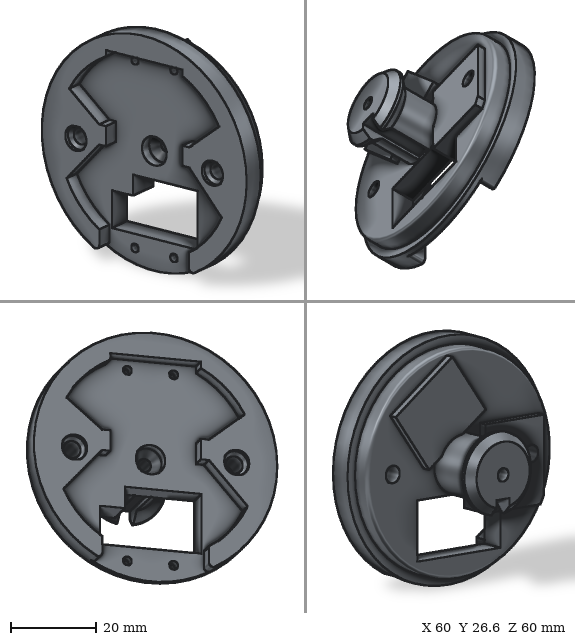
import cadquery as cq
import math


flange_radius = 30
body_radius = 55.5 / 2
flange_back = 5.5
body_back = 10.0
body_fillet = 0.95
knob_back = 26.6

pocket_depth = 4.0
pocket_radius = 25.0
pocket_neck_half = 11.15
pocket_mouth_half = 13.15
pocket_top = 24
upper_wing_z = 12.05
lower_wing_z = -10.55
shoulder_top = 5.0
shoulder_bottom = -0.05
mouth_fillet = 1.0

pad_back = 12.1
upright_left = -23.8
upright_right = -6.25
upright_top = 8.9
upright_bottom = -12.55
upright_corner_radius = 26.0
tilted_corner_x = 3.7
tilted_corner_z = 26.45
tilted_width = 17.2
tilted_length = 21
tilt_degrees = 35.7

stem_radius = 7.5
rim_radius = 10.0
knob_end_radius = 8.0
rim_back = knob_back - (rim_radius - knob_end_radius)
rim_front = 23.7
stem_back = rim_front - (rim_radius - stem_radius)
slot_width = 3.9
slot_top = -5.8

window_left = -12.4
window_right = 12.6
window_top = -7.25
window_step_x = -6.25
window_step_z = -12.55
window_bottom = -21.95

screw_x = 20.0
screw_diameter = 4.2
screw_head_diameter = 6.2
screw_head_depth = 1.0
centre_diameter = 3.2
centre_head_diameter = 7.2
centre_head_depth = 2.8
pin_x = 5.7
pin_upper_z = 21.5
pin_lower_z = -25.5
pin_diameter = 2.1
pin_depth = 2.4
pin_point = pin_diameter


def slab(outline, front, back):
    """Extrude a closed XZ outline from Y = front to Y = back."""
    return outline.extrude(front - back).translate((0, front, 0))


def disc(radius, front, back):
    """Round slab about the plate axis."""
    return slab(cq.Workplane("XZ").circle(radius), front, back)


def circle_x(z):
    """Half width of the pocket circle at height z."""
    return math.sqrt(pocket_radius**2 - z**2)


def circle_z(x):
    """Half height of the pocket circle at distance x from its centre."""
    return math.sqrt(pocket_radius**2 - x**2)


def arc_middle(start, end):
    """Point on the pocket circle halfway between two of its points."""
    angle = (math.atan2(start[1], start[0]) + math.atan2(end[1], end[0])) / 2
    return (pocket_radius * math.cos(angle), pocket_radius * math.sin(angle))


def turned(profile, x=0, z=0):
    """Solid of revolution about the line along Y through (x, z), from (radius, Y) points."""
    solid = cq.Workplane("XY").polyline(profile).close().revolve(360, (0, 0), (0, 1))
    return solid.translate((x, 0, z))


def pocket():
    """Pocket open at the lower rim: the right half is drawn, then mirrored."""
    neck = (pocket_neck_half, circle_z(pocket_neck_half))
    upper_tip = (circle_x(upper_wing_z), upper_wing_z)
    lower_tip = (circle_x(lower_wing_z), lower_wing_z)
    mouth = (pocket_mouth_half, -circle_z(pocket_mouth_half))
    half = (
        cq.Workplane("XZ")
        .moveTo(0, pocket_top)
        .lineTo(pocket_neck_half, pocket_top)
        .lineTo(*neck)
        .threePointArc(arc_middle(neck, upper_tip), upper_tip)
        .lineTo(pocket_mouth_half, shoulder_top)
        .lineTo(pocket_neck_half, shoulder_top)
        .lineTo(pocket_neck_half, shoulder_bottom)
        .lineTo(pocket_mouth_half, shoulder_bottom)
        .lineTo(*lower_tip)
        .threePointArc(arc_middle(lower_tip, mouth), mouth)
        .lineTo(pocket_mouth_half, -flange_radius)
        .lineTo(0, -flange_radius)
        .close()
    )
    right = slab(half, 0, pocket_depth)
    return right.union(right.mirror("YZ"))


def upright_pad():
    """Rectangular pad whose outer lower corner is rounded about the plate axis."""
    width = upright_right - upright_left
    height = upright_top - upright_bottom
    outline = (
        cq.Workplane("XZ")
        .center(upright_left + width / 2, upright_bottom + height / 2)
        .rect(width, height)
    )
    return slab(outline, body_back, pad_back).intersect(disc(upright_corner_radius, body_back, pad_back))


def tilted_pad():
    """Rectangular pad turned about its topmost corner."""
    outline = cq.Workplane("XZ").rect(tilted_length, -tilted_width, centered=False)
    pad = slab(outline, body_back, pad_back).rotate((0, 0, 0), (0, 1, 0), tilt_degrees)
    return pad.translate((tilted_corner_x, 0, tilted_corner_z))


def knob():
    """Stem with a double-bevelled rim, slotted from its lower side."""
    profile = [
        (0, body_back),
        (stem_radius, body_back),
        (stem_radius, stem_back),
        (rim_radius, rim_front),
        (rim_radius, rim_back),
        (knob_end_radius, knob_back),
        (0, knob_back),
    ]
    slot_height = slot_top + rim_radius
    slot_outline = cq.Workplane("XZ").center(0, slot_top - slot_height / 2).rect(slot_width, slot_height)
    return turned(profile).cut(slab(slot_outline, body_back, knob_back))


def window():
    """Stepped opening cut through the plate and the pads."""
    outline = cq.Workplane("XZ").polyline(
        [
            (window_step_x, window_top),
            (window_right, window_top),
            (window_right, window_bottom),
            (window_left, window_bottom),
            (window_left, window_step_z),
            (window_step_x, window_step_z),
        ]
    ).close()
    return slab(outline, 0, pad_back)


def screw_hole(x, diameter, head_diameter, seat):
    """Through hole along Y: a head recess down to Y = seat, then a 90 degree cone."""
    cone_depth = (head_diameter - diameter) / 2
    profile = [
        (0, 0),
        (head_diameter / 2, 0),
        (head_diameter / 2, seat),
        (diameter / 2, seat + cone_depth),
        (diameter / 2, knob_back),
        (0, knob_back),
    ]
    return turned(profile, x)


def pin_hole(x, z):
    """Blind hole from the pocket floor with a conical end."""
    radius = pin_diameter / 2
    depth = pocket_depth + pin_depth
    profile = [(0, 0), (radius, 0), (radius, depth), (0, depth + pin_point)]
    return turned(profile, x, z)


def flange():
    """Front disc with the pocket cut into it and the corners of the pocket mouth rounded."""
    solid = disc(flange_radius, 0, flange_back).cut(pocket())
    corner_z = -math.sqrt(flange_radius**2 - pocket_mouth_half**2)
    for corner_x in (-pocket_mouth_half, pocket_mouth_half):
        corner = (corner_x, pocket_depth / 2, corner_z)
        solid = solid.edges(cq.NearestToPointSelector(corner)).fillet(mouth_fillet)
    return solid


def body():
    """Smaller disc behind the pocket floor with a rounded back edge."""
    return disc(body_radius, pocket_depth, body_back).faces(">Y").edges().fillet(body_fillet)


result = flange().union(body()).union(upright_pad()).union(tilted_pad())
result = result.cut(window()).union(knob())

result = result.cut(screw_hole(0, centre_diameter, centre_head_diameter, pocket_depth + centre_head_depth))
for x in (-screw_x, screw_x):
    result = result.cut(screw_hole(x, screw_diameter, screw_head_diameter, screw_head_depth))
for x in (-pin_x, pin_x):
    for z in (pin_lower_z, pin_upper_z):
        result = result.cut(pin_hole(x, z))